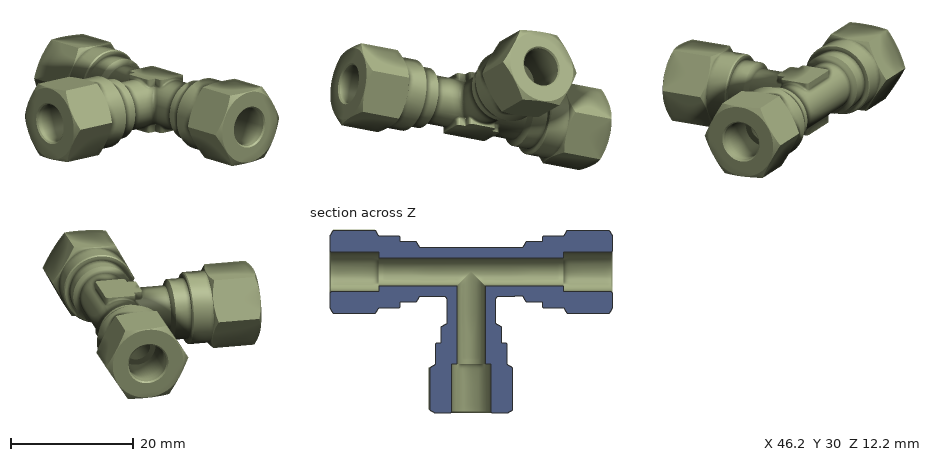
import cadquery as cq
import math

arm_length = 23.1
arm_headings = (-90.0, 0.0, 90.0)

tube_radius = 4.0
bore_radius = 2.25

pad_half_height = 4.5
pad_half_width = 2.5
pad_reach = 3.95
pad_corner_radius = 0.5
pad_blend_radius = 0.32
joint_radius = 0.5
pad_foot_low = 3.05
pad_foot_high = 4.3

shoulder_start = 8.4
shoulder_radius = 5.0
shoulder_cone_length = 0.55
collar_start = 11.6
collar_radius = 5.9
collar_chamfer = 0.2

nut_length = 8.0
nut_start = arm_length - nut_length
nut_sides = 6
nut_corner_diameter = 13.85
nut_tilt = 2.0
nut_face_radius = 5.9
nut_chamfer_angle = 30.0

socket_radius = 3.2
socket_depth = nut_length
socket_mouth_chamfer = 0.25


def arm_plane(distance):
    """Plane square to the -Y arm, facing outward, at a distance from the tee centre."""
    return cq.Workplane("XZ", origin=(0, -distance, 0))


def revolve_along_arm(profile):
    """Turn (radius, distance) points about the axis of the -Y arm."""
    points = [(radius, -distance) for radius, distance in profile]
    return cq.Workplane("XY").polyline(points).close().revolve(360, (0, 0, 0), (0, 1, 0))


def on_every_arm(shape):
    """Copy a shape made on the -Y arm to all three arms."""
    copies = [shape.rotate((0, 0, 0), (0, 0, 1), heading) for heading in arm_headings]
    return copies[0].union(copies[1]).union(copies[2])


def make_pads():
    """T-shaped block whose ends stand proud of the tubes above and below."""
    outline = [
        (-pad_reach, pad_half_width),
        (pad_reach, pad_half_width),
        (pad_reach, -pad_half_width),
        (pad_half_width, -pad_half_width),
        (pad_half_width, -pad_reach),
        (-pad_half_width, -pad_reach),
        (-pad_half_width, -pad_half_width),
        (-pad_reach, -pad_half_width),
    ]
    block = cq.Workplane("XY").polyline(outline).close().extrude(pad_half_height, both=True)
    corner_margin = 0.05
    inner_corners = cq.selectors.BoxSelector(
        (-pad_half_width - corner_margin, -pad_half_width - corner_margin, -pad_half_height),
        (pad_half_width + corner_margin, -pad_half_width + corner_margin, pad_half_height),
    )
    outer_corners = cq.StringSyntaxSelector("|Z") - inner_corners
    return block.edges(outer_corners).fillet(pad_corner_radius)


def make_tee():
    """Run and branch tubes with pads, blended where they meet."""
    run_length = 2 * shoulder_start
    run = cq.Workplane("YZ", origin=(-shoulder_start, 0, 0)).circle(tube_radius).extrude(run_length)
    branch = arm_plane(0).circle(tube_radius).extrude(shoulder_start)
    tee = run.union(branch).union(make_pads())
    tee = tee.edges("%ELLIPSE").fillet(joint_radius)
    pad_area = (pad_reach + shoulder_start) / 2
    for low, high in ((pad_foot_low, pad_foot_high), (-pad_foot_high, -pad_foot_low)):
        around_feet = cq.selectors.BoxSelector((-pad_area, -pad_area, low), (pad_area, pad_area, high))
        pad_walls = cq.StringSyntaxSelector("|Z")
        tee = tee.edges(around_feet - pad_walls).fillet(pad_blend_radius)
    return tee


def make_shoulder():
    """Stepped round shoulder between the tube and the nut."""
    return revolve_along_arm([
        (0, shoulder_start),
        (tube_radius, shoulder_start),
        (shoulder_radius, shoulder_start + shoulder_cone_length),
        (shoulder_radius, collar_start),
        (collar_radius - collar_chamfer, collar_start),
        (collar_radius, collar_start + collar_chamfer),
        (collar_radius, nut_start),
        (0, nut_start),
    ])


def make_nut():
    """Hexagonal nut with its corners turned to a cone at both ends."""
    hexagon = arm_plane(nut_start).polygon(nut_sides, nut_corner_diameter).extrude(nut_length)
    hexagon = hexagon.rotate((0, 0, 0), (0, 1, 0), -nut_tilt)
    slope = math.tan(math.radians(nut_chamfer_angle))
    cone_radius = 0.6 * nut_corner_diameter
    cone_length = (cone_radius - nut_face_radius) * slope
    turned_ends = revolve_along_arm([
        (0, nut_start),
        (nut_face_radius, nut_start),
        (cone_radius, nut_start + cone_length),
        (cone_radius, arm_length - cone_length),
        (nut_face_radius, arm_length),
        (0, arm_length),
    ])
    return hexagon.intersect(turned_ends)


def make_bore():
    """Through bore, tube socket and chamfered mouth of one arm."""
    return revolve_along_arm([
        (0, 0),
        (bore_radius, 0),
        (bore_radius, arm_length - socket_depth),
        (socket_radius, arm_length - socket_depth),
        (socket_radius, arm_length - socket_mouth_chamfer),
        (socket_radius + socket_mouth_chamfer, arm_length),
        (0, arm_length),
    ])


fittings = on_every_arm(make_shoulder().union(make_nut()))
result = make_tee().union(fittings).cut(on_every_arm(make_bore()))